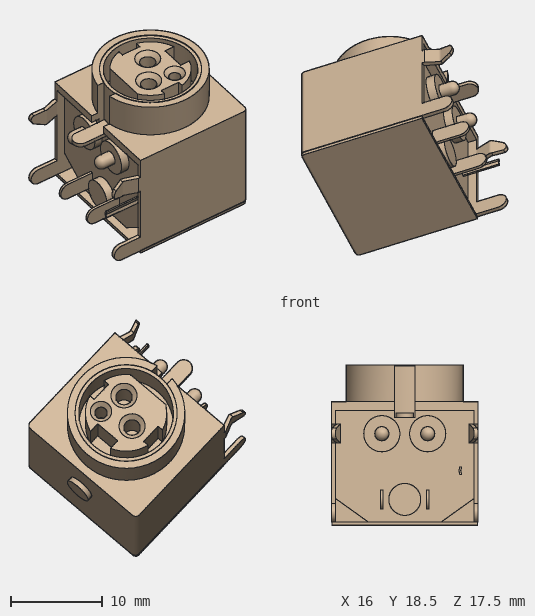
import cadquery as cq


WIDTH = 16.0
HOUSING_TOP = 13.5
TOTAL_HEIGHT = 17.5
FRONT_Y = -7.1
BACK_Y = 7.3
SHELL_WALL = 0.45
CORNER_RADIUS = 0.55
BOTTOM_PLATE = 0.4
BOTTOM_INSET = 0.07
BOTTOM_FOLD_RADIUS = 0.35
INNER_HALF = WIDTH / 2 - SHELL_WALL

RECESS_DEPTH = 1.0
RECESS_Y = FRONT_Y + RECESS_DEPTH
TOP_BAR = 0.97
CORNER_CUT_HALF_WIDTH = 4.0
CORNER_CUT_TOP = 2.94

RING_RADIUS = 6.4
SLEEVE_OUTER_RADIUS = 5.56
SLEEVE_INNER_RADIUS = 5.15
SLEEVE_DROP = 0.1
CORE_RADIUS = 4.43
CORE_FLAT_Y = -3.6
SOCKET_DEPTH = 4.0
KEY_WIDTH = 2.92
KEY_FLOOR_Y = 3.0
SIDE_KEY_WIDTH = 2.34
SIDE_KEY_FLOOR_X = 3.63
CONTACT_DEPTH = 4.0
CONTACT_CONE_DEPTH = 0.5
CONTACT_HOLES = [
    (-1.5, 0.7, 1.42, 0.89),
    (1.5, -1.33, 1.42, 0.89),
    (2.15, 1.7, 1.16, 0.66),
]

SLOT_WIDTH = 2.2
TAB_WIDTH = 1.9
TAB_THICKNESS = 0.47
TAB_BOTTOM = 11.78

TERMINAL_LENGTH = 3.25
TERMINAL_END_Y = FRONT_Y - TERMINAL_LENGTH
TERMINAL_X = 2.5
TERMINAL_THICKNESS = 0.3
TERMINAL_WIDTH = 2.05
TERMINAL_Z = 2.82
TERMINAL_CORNER_RADIUS = 1.0
PEG_Z = 10.0
PEG_RADIUS = 0.77
PEG_LENGTH = 1.28
PEG_DISC_RADIUS = 1.97
CENTRE_DISC_RADIUS = 1.74
CENTRE_DISC_Z = 2.84
STRIP_X = 5.9
STRIP_FOLD = 0.1
STRIP_THICKNESS = 0.2
STRIP_Z = 5.97
STRIP_HEIGHT = 0.84

SHELL_TAB_LENGTH = 3.5
SHELL_TAB_WIDTH = 2.0
SHELL_TAB_END_Y = FRONT_Y - SHELL_TAB_LENGTH
SPRING_Z = 10.02
SPRING_HALF_WIDTH = 1.02
SPRING_BEND = 0.57
SPRING_OUTER_START = 0.25
SPRING_BEND_LENGTH = 1.85
SPRING_BEND_RADIUS = 0.5
SPRING_TAPER_START = 2.0
SPRING_TAPER_END = 3.2
SPRING_TIP_HALF_WIDTH = 0.6

BOSS_RADIUS = 1.53
BOSS_HEIGHT = 0.6
BOSS_Z = 8.48


def box(x0, x1, y0, y1, z0, z1):
    """Box from its limits along the three axes."""
    return cq.Workplane("XY").box(x1 - x0, y1 - y0, z1 - z0, centered=False).translate((x0, y0, z0))


def upright_cylinder(radius, z0, z1):
    """Cylinder on the socket axis."""
    return cq.Workplane("XY").workplane(offset=z0).circle(radius).extrude(z1 - z0)


def forward_cylinder(x, z, radius, y_back, y_front):
    """Cylinder along Y, running from y_back toward -Y."""
    plane = cq.Workplane("XZ", origin=(0, y_back, 0))
    return plane.center(x, z).circle(radius).extrude(y_back - y_front)


def mirrored_pair(solid):
    """The solid together with its mirror image across the YZ plane."""
    return solid.union(solid.mirror("YZ"))


def make_housing():
    """Rounded block standing on the slightly narrower folded bottom plate."""
    block = box(-WIDTH / 2, WIDTH / 2, FRONT_Y, BACK_Y, BOTTOM_PLATE, HOUSING_TOP)
    block = block.edges("|Z and >Y").fillet(CORNER_RADIUS)
    half = WIDTH / 2 - BOTTOM_INSET
    plate = box(-half, half, FRONT_Y + BOTTOM_INSET, BACK_Y, 0, 2 * BOTTOM_PLATE)
    plate = plate.edges("|Z and >Y").fillet(CORNER_RADIUS)
    fold = box(-WIDTH / 2, WIDTH / 2, FRONT_Y, BACK_Y, 0, HOUSING_TOP)
    fold = fold.faces("<Z").edges(">Y").fillet(BOTTOM_FOLD_RADIUS)
    return block.union(plate.intersect(fold))


def make_front_recess():
    """Shallow front recess plus the two deep triangular gaps in its lower corners."""
    recess_top = HOUSING_TOP - TOP_BAR
    recess = box(-INNER_HALF, INNER_HALF, FRONT_Y, RECESS_Y, BOTTOM_PLATE, recess_top)
    gap_back_y = BACK_Y - SHELL_WALL
    corner_gap = (
        cq.Workplane("XZ", origin=(0, gap_back_y, 0))
        .moveTo(CORNER_CUT_HALF_WIDTH, BOTTOM_PLATE)
        .lineTo(INNER_HALF, BOTTOM_PLATE)
        .lineTo(INNER_HALF, CORNER_CUT_TOP)
        .close()
        .extrude(gap_back_y - FRONT_Y)
    )
    return recess.union(mirrored_pair(corner_gap))


def make_core():
    """Keyed contact carrier in the middle of the socket."""
    floor_z = TOTAL_HEIGHT - SOCKET_DEPTH
    core = upright_cylinder(CORE_RADIUS, floor_z, TOTAL_HEIGHT)
    reach = 2 * CORE_RADIUS
    core = core.cut(box(-reach, reach, -reach, CORE_FLAT_Y, floor_z, TOTAL_HEIGHT))
    core = core.cut(box(-KEY_WIDTH / 2, KEY_WIDTH / 2, KEY_FLOOR_Y, reach, floor_z, TOTAL_HEIGHT))
    side_key = box(SIDE_KEY_FLOOR_X, reach, -SIDE_KEY_WIDTH / 2, SIDE_KEY_WIDTH / 2, floor_z, TOTAL_HEIGHT)
    return core.cut(mirrored_pair(side_key))


def make_contact_hole(x, y, mouth_radius, bore_radius):
    """Blind contact hole with a conical mouth."""
    return (
        cq.Workplane("XZ")
        .lineTo(mouth_radius, 0)
        .lineTo(bore_radius, -CONTACT_CONE_DEPTH)
        .lineTo(bore_radius, -CONTACT_DEPTH)
        .lineTo(0, -CONTACT_DEPTH)
        .close()
        .revolve(360, (0, 0, 0), (0, 1, 0))
        .translate((x, y, TOTAL_HEIGHT))
    )


def make_slot():
    """Front slot through the ring and the top bar, stopping at the sleeve."""
    slot = box(-SLOT_WIDTH / 2, SLOT_WIDTH / 2, FRONT_Y, 0, TAB_BOTTOM, TOTAL_HEIGHT)
    return slot.cut(upright_cylinder(SLEEVE_OUTER_RADIUS, TAB_BOTTOM, TOTAL_HEIGHT))


def make_ground_tab():
    """Flat tab running forward from the sleeve, with a full round end."""
    radius = TAB_WIDTH / 2
    round_y = TERMINAL_END_Y + radius
    return (
        cq.Workplane("XY", origin=(0, 0, TAB_BOTTOM))
        .moveTo(-radius, -SLEEVE_INNER_RADIUS)
        .lineTo(-radius, round_y)
        .threePointArc((0, TERMINAL_END_Y), (radius, round_y))
        .lineTo(radius, -SLEEVE_INNER_RADIUS)
        .close()
        .extrude(TAB_THICKNESS)
    )


def make_terminal():
    """Flat upright terminal with rounded front corners."""
    half = TERMINAL_THICKNESS / 2
    z0 = TERMINAL_Z - TERMINAL_WIDTH / 2
    blade = box(TERMINAL_X - half, TERMINAL_X + half, TERMINAL_END_Y, RECESS_Y, z0, z0 + TERMINAL_WIDTH)
    return blade.edges("|X and <Y").fillet(TERMINAL_CORNER_RADIUS)


def make_peg():
    """Round-nosed peg standing on a disc that fills the recess depth."""
    disc = forward_cylinder(TERMINAL_X, PEG_Z, PEG_DISC_RADIUS, RECESS_Y, FRONT_Y)
    nose_y = FRONT_Y - PEG_LENGTH
    shank = forward_cylinder(TERMINAL_X, PEG_Z, PEG_RADIUS, RECESS_Y, nose_y)
    nose = cq.Workplane("XY").sphere(PEG_RADIUS).translate((TERMINAL_X, nose_y, PEG_Z))
    return disc.union(shank).union(nose)


def make_strip_terminal():
    """Thin strip terminal, folded lengthwise to a shallow V."""
    z0 = STRIP_Z - STRIP_HEIGHT / 2
    z1 = STRIP_Z + STRIP_HEIGHT / 2
    edge_x = STRIP_X + STRIP_FOLD
    outline = [
        (STRIP_X, STRIP_Z),
        (edge_x, z1),
        (edge_x + STRIP_THICKNESS, z1),
        (STRIP_X + STRIP_THICKNESS, STRIP_Z),
        (edge_x + STRIP_THICKNESS, z0),
        (edge_x, z0),
    ]
    section = cq.Workplane("XZ", origin=(0, RECESS_Y, 0)).polyline(outline).close()
    return section.extrude(RECESS_Y - TERMINAL_END_Y)


def make_shell_tab():
    """Flat round-ended tab continuing the side wall at its lower front corner."""
    z0 = BOTTOM_PLATE
    z1 = z0 + SHELL_TAB_WIDTH
    radius = SHELL_TAB_WIDTH / 2
    round_y = SHELL_TAB_END_Y + radius
    return (
        cq.Workplane("YZ", origin=(INNER_HALF, 0, 0))
        .moveTo(RECESS_Y, z0)
        .lineTo(round_y, z0)
        .threePointArc((SHELL_TAB_END_Y, z0 + radius), (round_y, z1))
        .lineTo(RECESS_Y, z1)
        .close()
        .extrude(SHELL_WALL)
    )


def make_spring_tab():
    """Side-wall tab bent inward and back out, narrowing to a rounded tip."""
    outer_x = WIDTH / 2
    bend_y = FRONT_Y - SPRING_BEND_LENGTH
    profile = [
        (INNER_HALF, RECESS_Y),
        (INNER_HALF, FRONT_Y),
        (INNER_HALF - SPRING_BEND, bend_y),
        (INNER_HALF, SHELL_TAB_END_Y),
        (outer_x, SHELL_TAB_END_Y),
        (outer_x - SPRING_BEND, bend_y),
        (outer_x, FRONT_Y - SPRING_OUTER_START),
        (outer_x, RECESS_Y),
    ]
    z0 = SPRING_Z - SPRING_HALF_WIDTH
    bent = cq.Workplane("XY", origin=(0, 0, z0)).polyline(profile).close().extrude(2 * SPRING_HALF_WIDTH)
    at_bend = cq.selectors.BoxSelector(
        (0, bend_y - SPRING_BEND / 2, 0),
        (WIDTH, bend_y + SPRING_BEND / 2, HOUSING_TOP),
    )
    bent = bent.edges("|Z").edges(at_bend).fillet(SPRING_BEND_RADIUS)
    taper_y = FRONT_Y - SPRING_TAPER_START
    tip_y = FRONT_Y - SPRING_TAPER_END
    side_outline = (
        cq.Workplane("YZ")
        .moveTo(RECESS_Y, SPRING_Z - SPRING_HALF_WIDTH)
        .lineTo(taper_y, SPRING_Z - SPRING_HALF_WIDTH)
        .lineTo(tip_y, SPRING_Z - SPRING_TIP_HALF_WIDTH)
        .threePointArc((SHELL_TAB_END_Y, SPRING_Z), (tip_y, SPRING_Z + SPRING_TIP_HALF_WIDTH))
        .lineTo(taper_y, SPRING_Z + SPRING_HALF_WIDTH)
        .lineTo(RECESS_Y, SPRING_Z + SPRING_HALF_WIDTH)
        .close()
        .extrude(WIDTH)
    )
    return bent.intersect(side_outline)


body = make_housing().cut(make_front_recess())
body = body.union(upright_cylinder(RING_RADIUS, HOUSING_TOP, TOTAL_HEIGHT))
body = body.cut(make_slot())

body = body.cut(upright_cylinder(SLEEVE_OUTER_RADIUS, TOTAL_HEIGHT - SLEEVE_DROP, TOTAL_HEIGHT))
body = body.cut(upright_cylinder(SLEEVE_INNER_RADIUS, TOTAL_HEIGHT - SOCKET_DEPTH, TOTAL_HEIGHT))
body = body.union(make_core())
for hole in CONTACT_HOLES:
    body = body.cut(make_contact_hole(*hole))

body = body.union(make_ground_tab())
body = body.union(make_strip_terminal())
body = body.union(forward_cylinder(0, CENTRE_DISC_Z, CENTRE_DISC_RADIUS, RECESS_Y, FRONT_Y))
for feature in (make_terminal(), make_peg(), make_shell_tab(), make_spring_tab()):
    body = body.union(mirrored_pair(feature))

body = body.union(forward_cylinder(0, BOSS_Z, BOSS_RADIUS, BACK_Y + BOSS_HEIGHT, BACK_Y - SHELL_WALL))

result = body